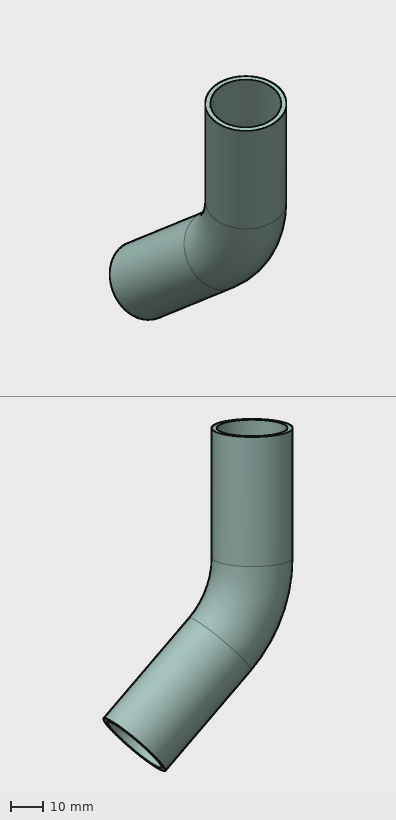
import cadquery as cq
import math

OUTER_DIAMETER = 25.4
WALL = 1.65
BEND_ANGLE = 45.0
BEND_RADIUS = 1.5 * OUTER_DIAMETER
CENTRE_TO_END = 57.2

bend_angle_rad = math.radians(BEND_ANGLE)
tangent_length = BEND_RADIUS * math.tan(bend_angle_rad / 2)


def on_lower_axis(distance):
    """Point (X, Z) on the lower leg axis, measured from the crossing of the axes."""
    return (-distance * math.sin(bend_angle_rad), -distance * math.cos(bend_angle_rad))


def centreline():
    """Tube axis in the XZ plane, from the top end down to the lower end."""
    bend_centre_x = -BEND_RADIUS
    half_angle = bend_angle_rad / 2
    bend_middle = (
        bend_centre_x + BEND_RADIUS * math.cos(half_angle),
        tangent_length - BEND_RADIUS * math.sin(half_angle),
    )
    return (
        cq.Workplane("XZ")
        .moveTo(0, CENTRE_TO_END)
        .lineTo(0, tangent_length)
        .threePointArc(bend_middle, on_lower_axis(tangent_length))
        .lineTo(*on_lower_axis(CENTRE_TO_END))
    )


def swept_rod(diameter):
    """Solid round bar following the tube axis."""
    top_end = cq.Workplane("XY").workplane(offset=CENTRE_TO_END)
    return top_end.circle(diameter / 2).sweep(centreline())


inner_diameter = OUTER_DIAMETER - 2 * WALL
result = swept_rod(OUTER_DIAMETER).cut(swept_rod(inner_diameter))